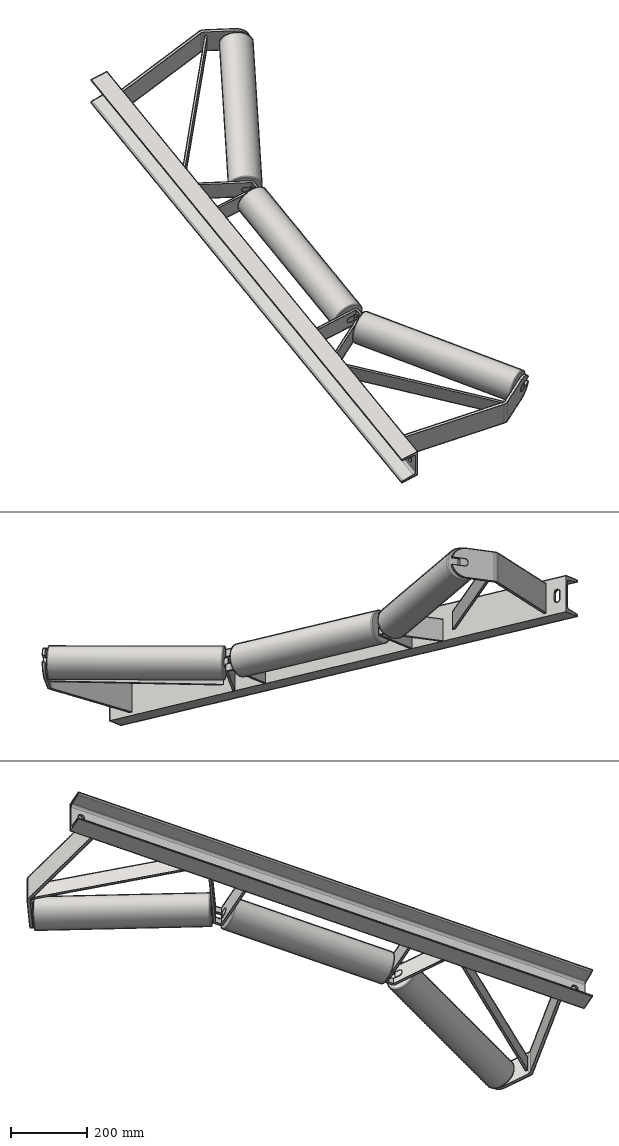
import cadquery as cq
import math

CHANNEL_LENGTH = 1500.0
CHANNEL_HEIGHT = 100.0
CHANNEL_DEPTH = 50.0
WEB_THICKNESS = 6.0
FLANGE_TIP = 6.0
FLANGE_ROOT = 10.0
ROOT_FILLET = 8.0
TIP_FILLET = 3.8
MID_HEIGHT = CHANNEL_HEIGHT / 2
END_SLOT_WIDTH = 18.0
END_SLOT_LENGTH = 36.0
END_SLOT_INSET = 30.0

ROLLER_RADIUS = 44.5
ROLLER_LENGTH = 466.0
WING_ANGLE = math.radians(30)
WING_TILT = math.radians(2.4)
MIDDLE_Y = 118.0
MIDDLE_Z = 31.0
WING_X = 478.0
WING_Y = 243.0
WING_Z = MIDDLE_Z + ROLLER_LENGTH / 2 * math.sin(WING_TILT)
INNER_GAP = 3.8
OUTER_GAP = 5.2
RIM_FILLET = 3.0

SHAFT_RADIUS = 10.2
SHAFT_TOP = 12.8

FOOT_OVERRUN = 15.0
OUTER_HEIGHT = 81.0
INNER_HEIGHT = 60.0
INNER_THICKNESS = 6.0
OUTER_THICKNESS = 8.0
OUTER_FOOT_X = 681.0
OUTER_BEND_X = 734.0
OUTER_BEND_RADIUS = 20.0
INNER_TOP_Y = 140.0
INNER_BEND_RADIUS = 8.0
OUTER_END_DROP = 5.0
BRACE_HEIGHT = 50.0
BRACE_THICKNESS = 6.0
BRACE_FOOT_X = 381.0
BRACE_RISE = 12.0

INNER_REACH = INNER_GAP + INNER_THICKNESS
OUTER_REACH = OUTER_GAP + OUTER_THICKNESS

INNER_ALONG = ROLLER_LENGTH / 2 + INNER_GAP + INNER_THICKNESS / 2
OUTER_ALONG = ROLLER_LENGTH / 2 + OUTER_GAP + OUTER_THICKNESS / 2

OUT_X, OUT_Y = -math.cos(WING_ANGLE), math.sin(WING_ANGLE)
UP_X, UP_Y = math.sin(WING_ANGLE), math.cos(WING_ANGLE)


def wing_point(along, up):
    """Plan position at a distance outward along the left wing's axis and square to it."""
    return (-WING_X + along * OUT_X + up * UP_X, WING_Y + along * OUT_Y + up * UP_Y)


def make_channel():
    half = CHANNEL_HEIGHT / 2
    profile = [
        (0, half),
        (-CHANNEL_DEPTH, half),
        (-CHANNEL_DEPTH, half - FLANGE_TIP),
        (-WEB_THICKNESS, half - FLANGE_ROOT),
        (-WEB_THICKNESS, FLANGE_ROOT - half),
        (-CHANNEL_DEPTH, FLANGE_TIP - half),
        (-CHANNEL_DEPTH, -half),
        (0, -half),
    ]
    section = cq.Workplane("YZ", origin=(-CHANNEL_LENGTH / 2, 0, MID_HEIGHT))
    channel = section.polyline(profile).close().extrude(CHANNEL_LENGTH)
    between_flanges = cq.selectors.BoxSelector(
        (-CHANNEL_LENGTH, -2 * CHANNEL_DEPTH, FLANGE_TIP / 2),
        (CHANNEL_LENGTH, -WEB_THICKNESS / 2, CHANNEL_HEIGHT - FLANGE_TIP / 2),
    )
    channel = channel.edges("|X").edges(between_flanges).edges(">Y").fillet(ROOT_FILLET)
    channel = channel.edges("|X").edges(between_flanges).edges("<Y").fillet(TIP_FILLET)
    end_slots = (
        cq.Workplane("XZ", origin=(0, 0, MID_HEIGHT))
        .pushPoints([(side * (CHANNEL_LENGTH / 2 - END_SLOT_INSET), 0) for side in (-1, 1)])
        .slot2D(END_SLOT_LENGTH, END_SLOT_WIDTH, 90)
        .extrude(CHANNEL_DEPTH)
    )
    return channel.cut(end_slots)


def shaft_section(plane, top):
    """U-shaped section of a shaft end or its slot, closed by a flat at the given height."""
    return (
        cq.Workplane(plane)
        .moveTo(top, SHAFT_RADIUS)
        .lineTo(0, SHAFT_RADIUS)
        .threePointArc((-SHAFT_RADIUS, 0), (0, -SHAFT_RADIUS))
        .lineTo(top, -SHAFT_RADIUS)
        .close()
    )


def make_roller(plane, first_reach, last_reach):
    """Barrel centred on the plane, with a shaft end standing out along its normal at each side."""
    half = ROLLER_LENGTH / 2
    barrel = cq.Workplane(plane).workplane(offset=-half).circle(ROLLER_RADIUS).extrude(ROLLER_LENGTH)
    barrel = barrel.faces("%PLANE").edges().fillet(RIM_FILLET)
    first = shaft_section(plane, SHAFT_TOP).extrude(-half - first_reach)
    last = shaft_section(plane, SHAFT_TOP).extrude(half + last_reach)
    return barrel.union(first).union(last)


def make_slot(plane, side, reach):
    """Tool for the slot around one shaft end, open at the top and clear of both bracket faces."""
    return shaft_section(plane, 2 * ROLLER_RADIUS).extrude(side * (ROLLER_LENGTH / 2 + 2 * reach))


MIDDLE_PLANE = cq.Plane(origin=(0, MIDDLE_Y, MIDDLE_Z), xDir=(0, 1, 0), normal=(-1, 0, 0))
WING_PLANE = cq.Plane(
    origin=(-WING_X, WING_Y, WING_Z),
    xDir=(UP_X, UP_Y, 0),
    normal=(OUT_X * math.cos(WING_TILT), OUT_Y * math.cos(WING_TILT), math.sin(WING_TILT)),
)


def make_strip(path, thickness, height, centre_z):
    """Upright strip along a plan path of centre points, mitred at its bends and kept to y >= 0."""
    left, right = [], []
    headings = [math.atan2(b[1] - a[1], b[0] - a[0]) for a, b in zip(path, path[1:])]
    for i, (x, y) in enumerate(path):
        before = headings[max(i - 1, 0)]
        after = headings[min(i, len(headings) - 1)]
        normal = (before + after) / 2 + math.pi / 2
        offset = thickness / 2 / math.cos((after - before) / 2)
        left.append((x + offset * math.cos(normal), y + offset * math.sin(normal)))
        right.append((x - offset * math.cos(normal), y - offset * math.sin(normal)))
    strip = (
        cq.Workplane("XY", origin=(0, 0, centre_z))
        .polyline(left + right[::-1])
        .close()
        .extrude(height / 2, both=True)
    )
    side = CHANNEL_LENGTH
    behind_web = cq.Workplane("XY").box(side, side, side, centered=(True, False, True))
    return strip.intersect(behind_web)


def run_down(start, end):
    """Point past the web's face, at y = -FOOT_OVERRUN, on the line from start through end."""
    share = (start[1] + FOOT_OVERRUN) / (start[1] - end[1])
    return (start[0] + share * (end[0] - start[0]), -FOOT_OVERRUN)


def make_inner_bracket():
    """Folded strip: a slanted leg for the wing roller and an upright leg for the middle one."""
    wing_axis = wing_point(-INNER_ALONG, 0)
    crest = wing_point(-INNER_ALONG, (INNER_TOP_Y - wing_axis[1]) / UP_Y)
    upright_top = (-INNER_ALONG, INNER_TOP_Y)
    upright_foot = (-INNER_ALONG, -FOOT_OVERRUN)
    path = [run_down(crest, wing_axis), crest, upright_top, upright_foot]
    bracket = make_strip(path, INNER_THICKNESS, INNER_HEIGHT, MIDDLE_Z)
    bracket = bracket.edges("|Z").edges(">Y").fillet(INNER_BEND_RADIUS)
    bracket = bracket.cut(make_slot(WING_PLANE, -1, INNER_REACH))
    return bracket.cut(make_slot(MIDDLE_PLANE, 1, INNER_REACH))


def outer_bend():
    """Plan position of the outer bracket's bend, on its upper leg's mid-thickness line."""
    axis_x = wing_point(OUTER_ALONG, 0)[0]
    return wing_point(OUTER_ALONG, -(OUTER_BEND_X + axis_x) / UP_X)


def make_outer_bracket():
    """Bent strip whose upper leg has a rounded end around the wing's outer shaft end."""
    bend = outer_bend()
    end_centre = wing_point(OUTER_ALONG, -OUTER_END_DROP)
    path = [end_centre, bend, run_down(bend, (-OUTER_FOOT_X, 0))]
    bracket = make_strip(path, OUTER_THICKNESS, OUTER_HEIGHT, MID_HEIGHT)
    inside_bend = (bend[0] + OUTER_THICKNESS / 2, bend[1], MID_HEIGHT)
    inner_edge = bracket.edges("|Z").edges(cq.selectors.NearestToPointSelector(inside_bend))
    bracket = inner_edge.fillet(OUTER_BEND_RADIUS - OUTER_THICKNESS)
    bracket = bracket.edges("|Z").edges("<X").fillet(OUTER_BEND_RADIUS)
    end_plane = cq.Plane(
        origin=(*end_centre, MID_HEIGHT), xDir=(UP_X, UP_Y, 0), normal=(OUT_X, OUT_Y, 0)
    )
    rounded_end = cq.Workplane(end_plane).circle(OUTER_HEIGHT / 2).extrude(OUTER_THICKNESS / 2, both=True)
    return bracket.union(rounded_end).cut(make_slot(WING_PLANE, 1, OUTER_REACH))


def make_brace(outer_bracket):
    """Flat bar from the outer bracket's upper leg, just above its bend, to the web."""
    bend_x, bend_y = outer_bend()
    top = (bend_x + BRACE_RISE * UP_X, bend_y + BRACE_RISE * UP_Y)
    path = [top, run_down(top, (-BRACE_FOOT_X, 0))]
    return make_strip(path, BRACE_THICKNESS, BRACE_HEIGHT, MID_HEIGHT).cut(outer_bracket)


channel = make_channel()
middle_roller = make_roller(MIDDLE_PLANE, INNER_REACH, INNER_REACH)
wing_roller = make_roller(WING_PLANE, INNER_REACH, OUTER_REACH)
inner_bracket = make_inner_bracket()
outer_bracket = make_outer_bracket()
brace = make_brace(outer_bracket)

bodies = [channel, middle_roller]
for left_body in (wing_roller, inner_bracket, outer_bracket, brace):
    bodies += [left_body, left_body.mirror("YZ")]
result = cq.Compound.makeCompound([body.val() for body in bodies])